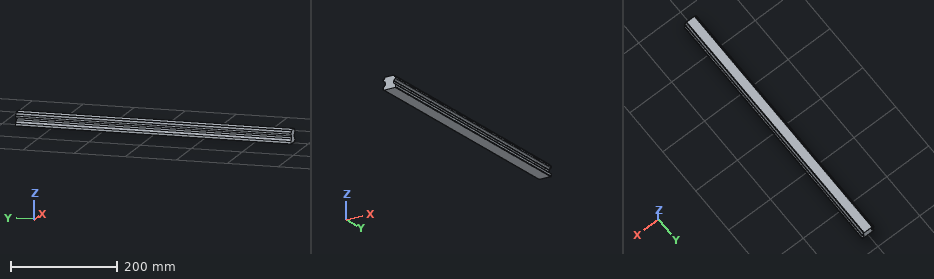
import cadquery as cq

width = 28.0
height = 26.0
length = 540.0
half_width = width / 2

top_half_width = 9.4
side_land_top = 21.4
side_land_bottom = 18.1

track_height = 19.75
groove_radius = 2.9
groove_inner_x = 10.5
groove_inner_offset = 5.7
groove_outer_x = 12.35
groove_outer_offset = 2.6

waist_half_width = 9.5
waist_top = 13.7
waist_bottom = 9.8

foot_side_height = 5.6
foot_chamfer = 1.0


def rail_profile():
    """Return the closed symmetric cross-section of the rail."""
    right_half = (
        cq.Workplane("XZ")
        .moveTo(0, height)
        .lineTo(top_half_width, height)
        .lineTo(groove_inner_x, track_height + groove_inner_offset)
        .radiusArc((groove_outer_x, track_height + groove_outer_offset), -groove_radius)
        .lineTo(half_width, side_land_top)
        .lineTo(half_width, side_land_bottom)
        .lineTo(groove_outer_x, track_height - groove_outer_offset)
        .radiusArc((groove_inner_x, track_height - groove_inner_offset), -groove_radius)
        .lineTo(waist_half_width, waist_top)
        .lineTo(waist_half_width, waist_bottom)
        .lineTo(half_width, foot_side_height)
        .lineTo(half_width, foot_chamfer)
        .lineTo(half_width - foot_chamfer, 0)
        .lineTo(0, 0)
    )
    return right_half.mirrorY()


result = rail_profile().extrude(length / 2, both=True).clean()